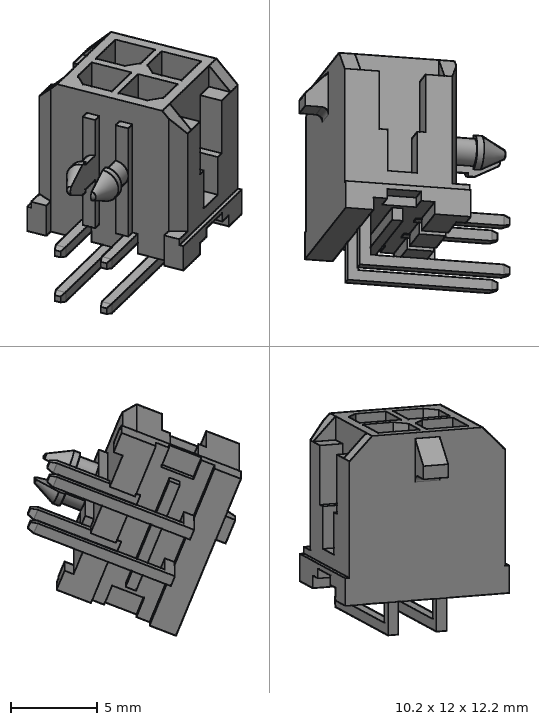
import cadquery as cq


overall_width = 10.15
overall_height = 12.24
overall_depth = 11.95

body_width = 9.65
body_depth = 6.88
body_height = 9.93
crown_width = 6.84
corner_width = 7.66
corner_depth = 0.48
base_height = 1.63
ear_depth = 0.56
ear_height = 2.02

pitch = 3.0
cavity_width = 2.57
cavity_depth = 2.5
cavity_bevel = 0.7
floor_height = 2.51

side_opening = 5.0
slot_upper = 2.74
slot_lower = 1.76
slot_step_height = 5.02
socket_neck = 0.81
socket_neck_reach = 4.14
socket_drop = 0.33

underside_centre = -0.04
channel_width = 3.65
channel_height = 0.75
notch_width = 2.01
notch_height = 1.32
spine_width = 0.65

latch_width = 1.53
latch_projection = 1.37
latch_top = 9.57
latch_bottom = 7.43
latch_nose = 0.78
latch_fillet = 0.4

rib_inner = 0.66
rib_outer = 1.48
rib_bottom = 1.32
rib_depth = 0.54
peg_height = 5.35
shank_radius = 0.82
collar_radius = 1.02
collar_start = 5.21
collar_length = 0.4
peg_tip_radius = 0.28
peg_dome_height = 0.1

pin_size = 0.64
pin_tip_size = 0.39
pin_tip_length = 0.39
pin_bed_height = 1.84
front_pin_start = -1.53

outer = overall_width / 2
side = body_width / 2
crown = crown_width / 2
corner = corner_width / 2
front = -body_depth / 2
back = body_depth / 2
ear_front = front - ear_depth
bevel = side - crown
wall_top = body_height - bevel
latch_back = back + latch_projection
pin_front = latch_back - overall_depth
lower_pin_z = body_height - overall_height + pin_size / 2
upper_pin_z = lower_pin_z + pitch


def block(x0, x1, y0, y1, z0, z1):
    """Box between opposite limits on each axis."""
    return cq.Workplane("XY").box(x1 - x0, y1 - y0, z1 - z0, centered=False).translate((x0, y0, z0))


def both_sides(shape):
    """The shape together with its mirror image across X = 0."""
    return shape.union(shape.mirror("YZ"))


def housing():
    plan = [
        (-side, back),
        (-side, front + corner_depth),
        (-corner, front),
        (corner, front),
        (side, front + corner_depth),
        (side, back),
    ]
    body = cq.Workplane("XY").polyline(plan).close().extrude(body_height)
    top_bevel = (
        cq.Workplane("XZ", origin=(0, back, 0))
        .polyline([(crown, body_height), (side, body_height), (side, wall_top)])
        .close()
        .extrude(body_depth)
    )
    body = body.cut(both_sides(top_bevel))
    base = block(-outer, outer, front + corner_depth, back, 0, base_height)
    ear = block(corner, side, ear_front, front + corner_depth, 0, ear_height)
    ear = ear.union(block(corner, outer, ear_front, front + corner_depth, 0, base_height))
    return body.union(base).union(both_sides(ear))


def side_slot():
    """Stepped slot in the +X wall, with a shallow socket sunk into its floor."""

    def centred_slot(width, reach, bottom):
        return block(crown, reach, -width / 2, width / 2, bottom, body_height)

    slot = centred_slot(side_opening, side, wall_top)
    slot = slot.union(centred_slot(slot_upper, side, slot_step_height))
    slot = slot.union(centred_slot(slot_lower, side, floor_height))
    socket_bottom = floor_height - socket_drop
    slot = slot.union(centred_slot(slot_lower, corner, socket_bottom))
    return slot.union(centred_slot(socket_neck, socket_neck_reach, socket_bottom))


def cavity(row, bevel_edge):
    """Cavity at +X in the given row (+1 rear, -1 front) with one bevelled front corner."""
    return (
        cq.Workplane("XY", origin=(pitch / 2, row * pitch / 2, floor_height))
        .rect(cavity_width, cavity_depth)
        .extrude(body_height - floor_height)
        .edges("|Z")
        .edges(bevel_edge)
        .chamfer(cavity_bevel)
    )


def underside_channel():
    """Channel across the full width, deepened at both ends and split by a central spine."""

    def crosswise(x0, x1, width, height):
        y0 = underside_centre - width / 2
        return block(x0, x1, y0, y0 + width, 0, height)

    channel = crosswise(-outer, outer, channel_width, channel_height)
    notch = crosswise(corner, outer, notch_width, notch_height)
    spine = crosswise(-crown, crown, spine_width, channel_height)
    return channel.union(both_sides(notch)).cut(spine)


def latch():
    ramp_bottom = latch_bottom + latch_nose
    root = back - latch_fillet
    return (
        cq.Workplane("YZ", origin=(-latch_width / 2, 0, 0))
        .moveTo(root, latch_top)
        .lineTo(back, latch_top)
        .lineTo(latch_back, ramp_bottom)
        .lineTo(latch_back, latch_bottom)
        .lineTo(back + latch_fillet, latch_bottom)
        .radiusArc((back, latch_bottom - latch_fillet), -latch_fillet)
        .lineTo(root, latch_bottom - latch_fillet)
        .close()
        .extrude(latch_width)
    )


def rib():
    return block(rib_inner, rib_outer, front - rib_depth, front, rib_bottom, wall_top)


def board_peg():
    """Half of a turned peg: the half lying outside the inner face of the rib."""
    tip = -pin_front
    collar_end = collar_start + collar_length
    dome_radius = (peg_tip_radius**2 + peg_dome_height**2) / (2 * peg_dome_height)
    turned = (
        cq.Workplane("XY")
        .moveTo(0, -front)
        .lineTo(shank_radius, -front)
        .lineTo(shank_radius, collar_start)
        .lineTo(collar_radius, collar_start)
        .lineTo(collar_radius, collar_end)
        .lineTo(peg_tip_radius, tip - peg_dome_height)
        .radiusArc((0, tip), -dome_radius)
        .close()
        .revolve(360, (0, 0, 0), (0, 1, 0))
    )
    outer_half = block(0, collar_radius, -front, tip, -collar_radius, collar_radius)
    return turned.intersect(outer_half).mirror("XZ").translate((rib_inner, 0, peg_height))


def pin_groove():
    """Groove below an upper pin, open at the front wall and the underside, running into the channel."""
    half = pin_size / 2
    centre = pitch / 2
    channel_front = underside_centre - channel_width / 2
    return block(centre - half, centre + half, front, channel_front, 0, upper_pin_z - half)


def pin(start_y, centre_z):
    """Square pin running forward from start_y to a tapered tip."""
    shoulder = pin_front + pin_tip_length
    straight = (
        cq.Workplane("XZ", origin=(pitch / 2, start_y, centre_z))
        .rect(pin_size, pin_size)
        .extrude(start_y - shoulder)
    )
    tip = (
        cq.Workplane("XZ", origin=(pitch / 2, shoulder, centre_z))
        .rect(pin_size, pin_size)
        .workplane(offset=pin_tip_length)
        .rect(pin_tip_size, pin_tip_size)
        .loft(ruled=True)
    )
    return straight.union(tip)


def bent_pin():
    """Rear-row pin: a leg dropping from the housing, then running forward."""
    half = pin_size / 2
    centre = pitch / 2
    leg = block(
        centre - half, centre + half, centre - half, centre + half, lower_pin_z - half, pin_bed_height
    )
    return leg.union(pin(centre + half, lower_pin_z))


result = housing()
result = result.cut(both_sides(side_slot()))
result = result.cut(both_sides(cavity(1, "<X and <Y")))
result = result.cut(both_sides(cavity(-1, ">X and <Y")))
result = result.cut(underside_channel())
result = result.cut(both_sides(pin_groove()))
for feature in (rib(), board_peg(), bent_pin(), pin(front_pin_start, upper_pin_z)):
    result = result.union(both_sides(feature))
result = result.union(latch())